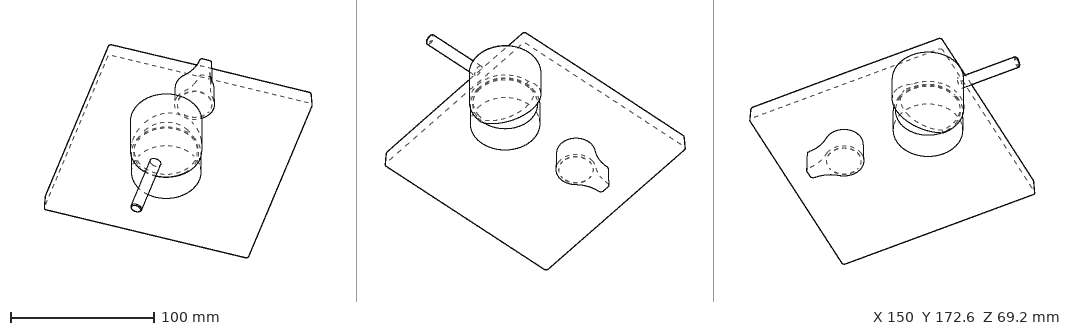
import cadquery as cq
import math

longest_side = 172.6

plate_size = 150.0
plate_corner_radius = 2.0
plate_draft = 2.5
plate_centre_height = 14.2
plate_dome_radius = 6385.8
plate_edge_fillet = 1.9
dome_trim = 1.7
embedded_z = plate_centre_height / 2

mixer_y = -27.8
body_radius = 24.3
body_top = 34.9
body_fillet = 1.2
neck_radius = 22.8
neck_centre_z = 32.8
handle_radius = 25.0
handle_bottom = 37.3
handle_top = 69.2
handle_fillet = 1.0
handle_relief_rise = 11.2

lever_radius = 4.0
lever_z = 51.8
lever_tip_y = plate_size / 2 - longest_side
lever_chamfer = 0.7

diverter_y = 37.6
diverter_radius = 14.0
diverter_length = 27.5
diverter_tip_half_width = 4.8
diverter_tip_radius = 2.2
diverter_bottom = 14.5
diverter_top = 33.0
diverter_draft = 1.5
diverter_edge_fillet = 0.9
foot_radius = 12.0


def cylinder(radius, bottom, top, y):
    return cq.Workplane("XY", origin=(0, y, bottom)).circle(radius).extrude(top - bottom)


def make_plate():
    block = (
        cq.Workplane("XY")
        .rect(plate_size, plate_size)
        .extrude(plate_centre_height + dome_trim, taper=plate_draft)
        .edges("not (#Z)")
        .fillet(plate_corner_radius)
    )
    dome = cq.Workplane("XZ", origin=(0, 0, plate_centre_height - plate_dome_radius)).sphere(plate_dome_radius)
    return block.intersect(dome).faces(">Z").edges().fillet(plate_edge_fillet)


def make_body():
    body = cylinder(body_radius, embedded_z, body_top, mixer_y)
    return body.faces(">Z").edges().fillet(body_fillet)


def make_neck():
    return cq.Workplane("XY", origin=(0, mixer_y, neck_centre_z)).sphere(neck_radius)


def make_handle():
    handle = cylinder(handle_radius, handle_bottom, handle_top, mixer_y)
    handle = handle.faces(">Z").edges().fillet(handle_fillet)
    relief = (
        cq.Workplane("YZ", origin=(-handle_radius, 0, 0))
        .moveTo(mixer_y, handle_bottom)
        .lineTo(mixer_y + handle_radius, handle_bottom + handle_relief_rise)
        .lineTo(mixer_y + handle_radius, handle_bottom)
        .close()
        .extrude(2 * handle_radius)
    )
    return handle.cut(relief)


def make_lever():
    lever = (
        cq.Workplane("XZ", origin=(0, mixer_y, lever_z))
        .circle(lever_radius)
        .extrude(mixer_y - lever_tip_y)
    )
    return lever.faces("<Y").edges().chamfer(lever_chamfer)


def make_diverter():
    flank_y = diverter_length - diverter_tip_radius
    flank_radius = (diverter_tip_half_width**2 + flank_y**2 - diverter_radius**2) / (
        2 * (diverter_radius - diverter_tip_half_width)
    )
    flank_x = diverter_tip_half_width + flank_radius
    angle = math.atan2(flank_y, flank_x)
    join_x = diverter_radius * math.cos(angle)
    join_y = diverter_radius * math.sin(angle)
    mid_x = flank_x - flank_radius * math.cos(angle / 2)
    mid_y = flank_y - flank_radius * math.sin(angle / 2)
    flat_x = diverter_tip_half_width - diverter_tip_radius
    knob = (
        cq.Workplane("XY", origin=(0, diverter_y, diverter_bottom))
        .moveTo(-join_x, join_y)
        .threePointArc((0, -diverter_radius), (join_x, join_y))
        .threePointArc((mid_x, mid_y), (diverter_tip_half_width, flank_y))
        .tangentArcPoint((flat_x, diverter_length), relative=False)
        .lineTo(-flat_x, diverter_length)
        .tangentArcPoint((-diverter_tip_half_width, flank_y), relative=False)
        .threePointArc((-mid_x, mid_y), (-join_x, join_y))
        .close()
        .extrude(diverter_top - diverter_bottom, taper=diverter_draft)
    )
    knob = knob.faces(">Z").edges().fillet(diverter_edge_fillet)
    foot = cylinder(foot_radius, embedded_z, diverter_bottom, diverter_y)
    return knob.union(foot)


result = make_plate()
for feature in (make_body(), make_neck(), make_handle(), make_lever(), make_diverter()):
    result = result.union(feature)